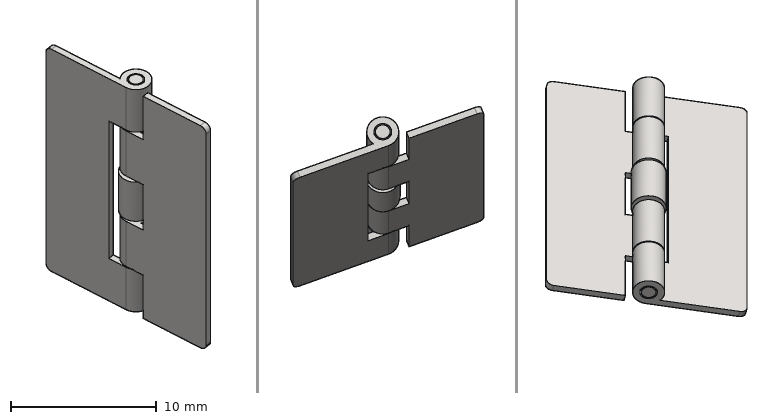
import cadquery as cq

height = 20.0
width = 14.0
leaf_thickness = 0.5
corner_radius = 0.5

pin_radius = 0.5
bore_radius = 0.6
knuckle_radius = bore_radius + leaf_thickness
sleeve_radius = 1.2
sleeve_length = 3.52

cutout_reach = 1.5
left_knuckle_start = 6.18
right_knuckle_start = 2.05
right_knuckle_end = 6.1

LEFT = -1
RIGHT = 1


def cylinder(radius, bottom, top):
    """Cylinder on the pin axis between two heights."""
    return cq.Workplane("XY").workplane(offset=bottom).circle(radius).extrude(top - bottom)


def box(x_start, x_end, bottom, top):
    """Block of leaf thickness, with its front face tangent to the knuckles."""
    return (
        cq.Workplane("XY")
        .box(abs(x_end - x_start), leaf_thickness, top - bottom, centered=(True, False, False))
        .translate(((x_start + x_end) / 2, -knuckle_radius, bottom))
    )


def make_leaf(side, knuckle_spans):
    """Plate with rounded outer corners, carrying a bored knuckle over each height span."""
    plate = box(side * cutout_reach, side * width / 2, -height / 2, height / 2)
    outer_face = "<X" if side == LEFT else ">X"
    leaf = plate.faces(outer_face).edges("|Y").fillet(corner_radius)
    for bottom, top in knuckle_spans:
        leaf = leaf.union(box(0, side * cutout_reach, bottom, top))
        leaf = leaf.union(cylinder(knuckle_radius, bottom, top))
    return leaf.cut(cylinder(bore_radius, -height / 2, height / 2))


def make_sleeve():
    """Loose spacer tube between the two right-hand knuckles."""
    outside = cylinder(sleeve_radius, -sleeve_length / 2, sleeve_length / 2)
    return outside.cut(cylinder(bore_radius, -sleeve_length / 2, sleeve_length / 2))


def make_pin():
    """Straight pin, flush with both ends of the hinge."""
    return cylinder(pin_radius, -height / 2, height / 2)


left_leaf = make_leaf(LEFT, [(-height / 2, -left_knuckle_start), (left_knuckle_start, height / 2)])
right_leaf = make_leaf(
    RIGHT,
    [(-right_knuckle_end, -right_knuckle_start), (right_knuckle_start, right_knuckle_end)],
)
sleeve = make_sleeve()
pin = make_pin()

result = cq.Compound.makeCompound([left_leaf.val(), right_leaf.val(), sleeve.val(), pin.val()])